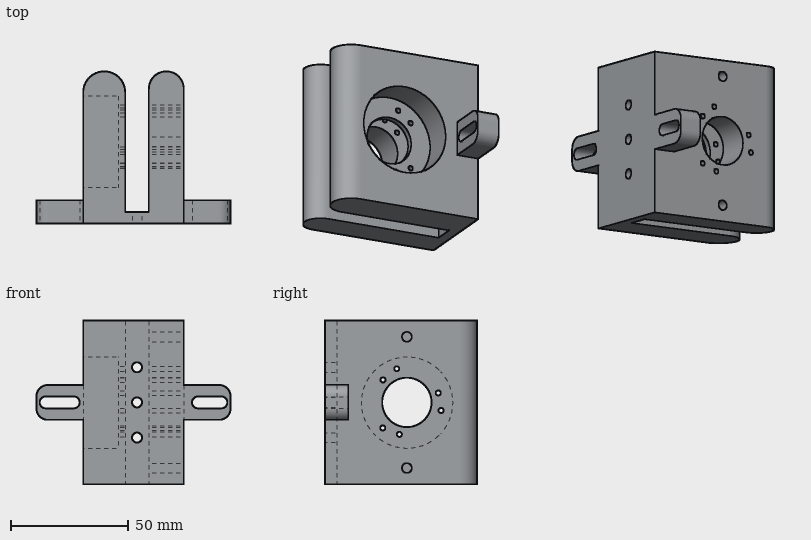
import cadquery as cq
import math

block_height = 70.0
block_depth = 65.0
thick_arm = 18.0
gap_width = 10.0
thin_arm = 15.0
plate_thickness = 5.0
block_width = thick_arm + gap_width + thin_arm
block_left = -block_width / 2
gap_left = block_left + thick_arm
gap_right = gap_left + gap_width

ear_length = 20.0
ear_height = 15.0
ear_depth = 10.0
ear_corner_radius = 5.0
ear_span = block_width + 2 * ear_length
left_slot_length = 17.0
right_slot_length = 15.0
slot_width = 5.0
slot_tip_margin = 1.5

plate_hole_diameter = 4.2
plate_hole_pitch = 15.0
plate_hole_count = 3

bore_y = 35.0
bore_diameter = 21.0
recess_diameter = 39.0
recess_floor = 3.0
recess_depth = thick_arm - recess_floor

screw_hole_diameter = 2.1
screws_per_ring = 3
outer_ring = (15.0, 73.3)
inner_ring = (14.0, 43.3)

thin_arm_hole_diameter = 4.2
thin_arm_hole_offset = 28.0


def arm(left, width):
    """Upright arm with a fully rounded free end."""
    right = left + width
    shoulder_y = block_depth - width / 2
    return (
        cq.Workplane("XY")
        .workplane(offset=-block_height / 2)
        .moveTo(left, 0)
        .lineTo(right, 0)
        .lineTo(right, shoulder_y)
        .threePointArc((left + width / 2, block_depth), (left, shoulder_y))
        .close()
        .extrude(block_height)
    )


def plate():
    """Plate joining the two arms at the front."""
    return cq.Workplane("XY").box(
        block_width, plate_thickness, block_height, centered=(True, False, True)
    )


def ear_slot(length, side):
    """Slot in one ear, set in from its tip; side is -1 for the left ear and +1 for the right."""
    center_x = side * (ear_span / 2 - slot_tip_margin - length / 2)
    return (
        cq.Workplane("XZ")
        .center(center_x, 0)
        .slot2D(length, slot_width)
        .extrude(-ear_depth)
    )


def ear(side):
    """Ear with rounded outer corners, overlapping the block by the thickness of the plate."""
    length = ear_length + plate_thickness
    center_x = side * (ear_span - length) / 2
    outer_edges = "|Y and >X" if side > 0 else "|Y and <X"
    return (
        cq.Workplane("XY")
        .box(length, ear_depth, ear_height, centered=(True, False, True))
        .translate((center_x, 0, 0))
        .edges(outer_edges)
        .fillet(ear_corner_radius)
    )


def plate_holes():
    """Vertical row of holes on the centre line of the gap."""
    return (
        cq.Workplane("XZ")
        .center(gap_left + gap_width / 2, 0)
        .rarray(1, plate_hole_pitch, 1, plate_hole_count)
        .circle(plate_hole_diameter / 2)
        .extrude(-plate_thickness)
    )


def cross_cylinder(start_x, diameter, length, y, z):
    """Cylinder along +X that begins at start_x."""
    return (
        cq.Workplane("YZ", origin=(start_x, y, z))
        .circle(diameter / 2)
        .extrude(length)
    )


def cut_screw_holes(body, ring):
    """Cut one ring of equally spaced screw holes through both arms."""
    radius, first_angle = ring
    for index in range(screws_per_ring):
        angle = math.radians(first_angle + index * 360 / screws_per_ring)
        y = bore_y - radius * math.cos(angle)
        z = radius * math.sin(angle)
        body = body.cut(cross_cylinder(block_left, screw_hole_diameter, block_width, y, z))
    return body


result = plate().union(arm(block_left, thick_arm)).union(arm(gap_right, thin_arm))
for side, slot_length in ((-1, left_slot_length), (1, right_slot_length)):
    result = result.union(ear(side)).cut(ear_slot(slot_length, side))

result = result.cut(plate_holes())
result = result.cut(cross_cylinder(block_left, bore_diameter, block_width, bore_y, 0))
result = result.cut(cross_cylinder(block_left, recess_diameter, recess_depth, bore_y, 0))
for ring in (outer_ring, inner_ring):
    result = cut_screw_holes(result, ring)
for z in (-thin_arm_hole_offset, thin_arm_hole_offset):
    result = result.cut(cross_cylinder(gap_right, thin_arm_hole_diameter, thin_arm, bore_y, z))